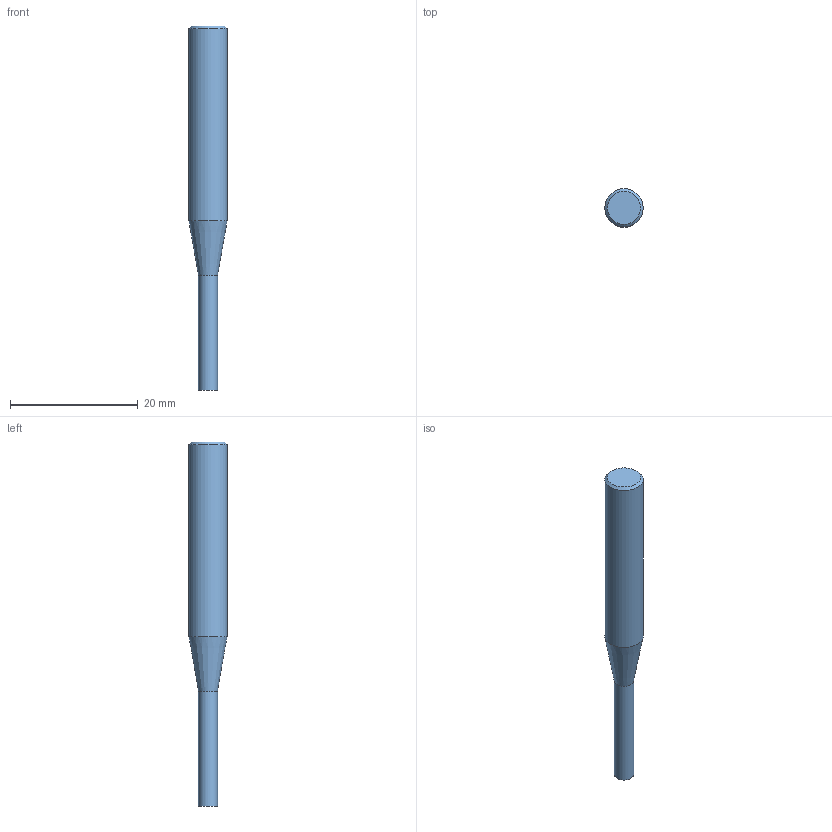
import cadquery as cq
import math

shank_diameter = 6.0
neck_diameter = 3.0
overall_length = 57.0
neck_length = 18.0
taper_half_angle = 10.0
end_chamfer = 0.4

shank_radius = shank_diameter / 2
neck_radius = neck_diameter / 2
taper_length = (shank_radius - neck_radius) / math.tan(math.radians(taper_half_angle))
shank_start = neck_length + taper_length


def tool_blank():
    """Revolve the half profile about Z: neck at the bottom, taper, then shank."""
    half_profile = (
        cq.Workplane("XZ")
        .moveTo(0, 0)
        .lineTo(neck_radius, 0)
        .lineTo(neck_radius, neck_length)
        .lineTo(shank_radius, shank_start)
        .lineTo(shank_radius, overall_length)
        .lineTo(0, overall_length)
        .close()
    )
    return half_profile.revolve(360, (0, 0, 0), (0, 1, 0))


def chamfer_shank_end(body):
    """Break the top rim of the shank."""
    return body.faces(">Z").edges().chamfer(end_chamfer)


result = chamfer_shank_end(tool_blank())